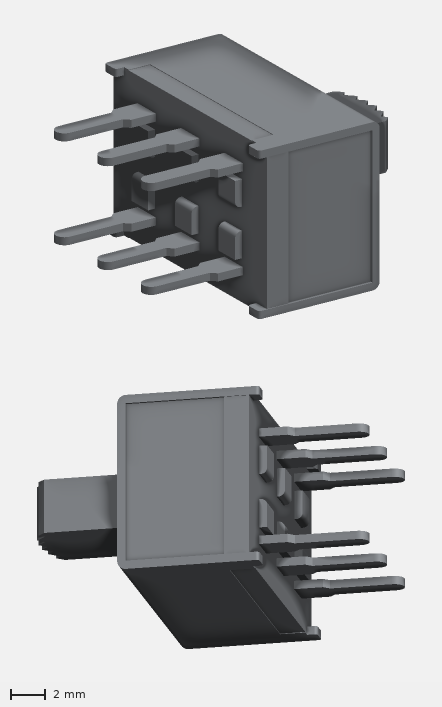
import cadquery as cq
import math

total_length = 20.1

shell_width = 16.0
shell_height = 10.5
shell_thickness = 0.5
shell_bend_radius = 0.5
opening_width = 13.7
foot_end = 8.38
foot_corner_radius = 0.2

base_front = 7.78
base_depth = 1.49
base_end_inset = 0.06
body_end_inset = 0.18
tab_width = 12.78
tab_inset = 0.05

slider_width = 5.39
slider_height = 3.22
slider_length = 6.0
slider_offset = -1.75
tooth_count = 6
tooth_pitch = 0.9
crown_radius = 5.93

column_pitch = 4.5
row_offset = 3.24
pin_thickness = 0.5
pin_root_width = 1.89
pin_width = 1.2
pin_root_length = 1.7
pin_end = total_length - slider_length

bump_width = 1.73
bump_height = 1.7
bump_depth = 0.48
bump_offset = 1.6
bump_radius = 0.38

columns = [-column_pitch, 0, column_pitch]
base_back = base_front - base_depth
inner_height = shell_height - 2 * shell_thickness


def block(width, y_near, y_far, height):
    """Box centred on X and Z that runs from -y_near to -y_far."""
    depth = y_far - y_near
    return cq.Workplane("XY").box(width, depth, height).translate((0, -(y_near + y_far) / 2, 0))


def extrude_along_z(outline, height):
    """Close an XY outline and extrude it symmetrically about Z = 0."""
    return outline.close().extrude(height / 2, both=True)


def make_shell():
    shell = block(shell_width, 0, foot_end, shell_height)
    shell = shell.edges("|X and >Y").fillet(shell_bend_radius)

    shell = shell.cut(block(opening_width, base_front, foot_end, shell_height))
    shell = shell.edges("|Z and <Y").fillet(foot_corner_radius)

    shell = shell.cut(block(tab_width, base_back, foot_end, shell_height))
    return shell.cut(block(shell_width, shell_thickness, foot_end, inner_height))


def make_housing():
    body = block(shell_width - 2 * body_end_inset, shell_thickness, base_back, inner_height)
    base = block(shell_width - 2 * base_end_inset, base_back, base_front, inner_height)
    tabs = block(tab_width, base_back, base_front, shell_height - 2 * tab_inset)
    return body.union(base).union(tabs)


def grip_points():
    """Outline of the 45 degree teeth, whose peaks lie on the crown circle."""
    half_width = slider_width / 2
    peaks = []
    for i in range(tooth_count):
        x = (i - (tooth_count - 1) / 2) * tooth_pitch
        peaks.append((x, math.sqrt(crown_radius**2 - x**2)))

    lift = slider_length - max(y for x, y in peaks)
    peaks = [(x, y + lift) for x, y in peaks]

    shoulder_y = peaks[0][1] - (half_width + peaks[0][0])
    points = [(-half_width, shoulder_y), peaks[0]]
    for (x1, y1), (x2, y2) in zip(peaks, peaks[1:]):
        valley = ((x1 + x2 + y1 - y2) / 2, (y1 + y2 + x1 - x2) / 2)
        points += [valley, (x2, y2)]
    return points + [(half_width, shoulder_y)]


def make_slider():
    half_width = slider_width / 2
    root = -shell_thickness
    points = [(-half_width, root)] + grip_points() + [(half_width, root)]
    slider = extrude_along_z(cq.Workplane("XY").polyline(points), slider_height)
    return slider.translate((slider_offset, 0, 0))


def make_pin():
    """Flat pin with 45 degree shoulders and a full round tip, rooted in the base."""
    half_root = pin_root_width / 2
    half_pin = pin_width / 2
    shoulder_start = -(base_front + pin_root_length)
    shoulder_end = shoulder_start - (half_root - half_pin)
    tip_start = half_pin - pin_end
    outline = (
        cq.Workplane("XY")
        .moveTo(-half_root, -base_back)
        .lineTo(-half_root, shoulder_start)
        .lineTo(-half_pin, shoulder_end)
        .lineTo(-half_pin, tip_start)
        .threePointArc((0, -pin_end), (half_pin, tip_start))
        .lineTo(half_pin, shoulder_end)
        .lineTo(half_root, shoulder_start)
        .lineTo(half_root, -base_back)
    )
    return extrude_along_z(outline, pin_thickness)


def make_bump():
    """Bump of the upper row, rounded on the edge that faces the middle."""
    bump = block(bump_width, base_back, base_front + bump_depth, bump_height)
    return bump.edges("|X and <Y and <Z").fillet(bump_radius)


pin = make_pin()
upper_bump = make_bump().translate((0, 0, bump_offset))
lower_bump = upper_bump.mirror("XY")

result = make_shell().union(make_housing()).union(make_slider())
for x in columns:
    result = result.union(pin.translate((x, 0, row_offset)))
    result = result.union(pin.translate((x, 0, -row_offset)))
    result = result.union(upper_bump.translate((x, 0, 0)))
    result = result.union(lower_bump.translate((x, 0, 0)))